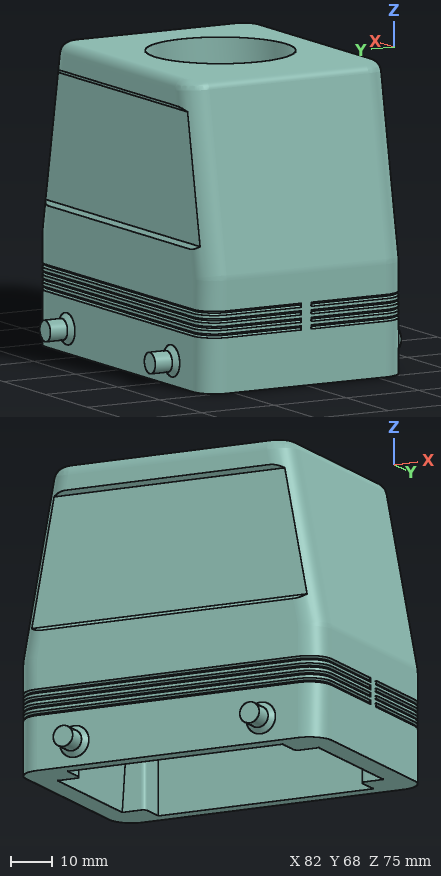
import cadquery as cq

LENGTH = 82.0
WIDTH = 56.0
HEIGHT = 75.0
TOP_LENGTH = 64.4
KNEE_Z = 28.1
KNEE_RADIUS = 7.0
KNEE_SEARCH = 1.0
CORNER_RADIUS = 6.0
TOP_RADIUS = 3.0

RECESS_DEPTH = 1.0
RECESS_BOTTOM_Z = 34.5
RECESS_TOP_Z = 68.3

GROOVE_COUNT = 4
GROOVE_PITCH = 1.83
GROOVE_HEIGHT = 1.0
GROOVE_DEPTH = GROOVE_HEIGHT / 2
GROOVE_ANGLE = 45.0
FIRST_GROOVE_Z = 13.6
BRIDGE_WIDTH = 2.8

PIN_SPAN_X = 50.0
PIN_SPAN_Y = 68.0
PIN_Z = 6.0
PIN_RADIUS = 2.6
FOOT_RADIUS = 3.9
FOOT_HEIGHT = 1.3
PIN_ROOT = 1.0

HOLE_DIAMETER = 36.0
ROOF_THICKNESS = 7.5
SIDE_WALL = 4.0
CAVITY_BASE_LENGTH = 70.0
CAVITY_TOP_LENGTH = 61.0
POST_INNER_X = 28.8
POST_INNER_Y = 17.1
POST_RADIUS = 1.2

CAVITY_HEIGHT = HEIGHT - ROOF_THICKNESS
CAVITY_WIDTH = WIDTH - 2 * SIDE_WALL


def symmetric_prism(half_outline, depth):
    """Mirror an (x, z) outline about x = 0 and extrude it by depth, centred on y = 0."""
    mirrored = [(-x, z) for x, z in reversed(half_outline)]
    return cq.Workplane("XZ").polyline(half_outline + mirrored).close().extrude(depth / 2, both=True)


def make_shell():
    """Solid outer shape: straight base, sloping ends, rounded corners and roof."""
    half_outline = [(LENGTH / 2, 0), (LENGTH / 2, KNEE_Z), (TOP_LENGTH / 2, HEIGHT)]
    shell = symmetric_prism(half_outline, WIDTH)
    knee_band = cq.selectors.BoxSelector(
        (-LENGTH, -WIDTH, KNEE_Z - KNEE_SEARCH), (LENGTH, WIDTH, KNEE_Z + KNEE_SEARCH)
    )
    shell = shell.edges("|Y").edges(knee_band).fillet(KNEE_RADIUS)
    shell = shell.edges("(<Y or >Y) and (not |X)").fillet(CORNER_RADIUS)
    return shell.faces(">Z").edges().fillet(TOP_RADIUS)


def make_side_recess(side):
    """Cutter for the recess on the long side at y = side * WIDTH / 2."""
    face_y = side * WIDTH / 2
    floor_y = side * (WIDTH / 2 - RECESS_DEPTH)
    outline = [
        (face_y, RECESS_BOTTOM_Z),
        (floor_y, RECESS_BOTTOM_Z + RECESS_DEPTH),
        (floor_y, RECESS_TOP_Z - RECESS_DEPTH),
        (face_y, RECESS_TOP_Z),
    ]
    return cq.Workplane("YZ").polyline(outline).close().extrude(LENGTH / 2, both=True)


def base_section(z):
    """Workplane at height z holding the rounded outline of the base."""
    outline = cq.Sketch().rect(LENGTH, WIDTH).vertices().fillet(CORNER_RADIUS)
    return cq.Workplane("XY").workplane(offset=z).placeSketch(outline)


def make_groove(bottom_z):
    """V-section ring around the base, leaving out the bridges at the two ends."""
    middle_z = bottom_z + GROOVE_HEIGHT / 2
    ring = base_section(bottom_z).extrude(GROOVE_HEIGHT)
    ring = ring.cut(base_section(middle_z - GROOVE_DEPTH).extrude(GROOVE_DEPTH, taper=GROOVE_ANGLE))
    ring = ring.cut(base_section(middle_z + GROOVE_DEPTH).extrude(-GROOVE_DEPTH, taper=GROOVE_ANGLE))
    bridge = cq.Workplane("XY").box(LENGTH, BRIDGE_WIDTH, HEIGHT)
    return ring.cut(bridge)


def make_pin(x, side):
    """Pin with conical foot, pointing outwards along side * Y."""
    wall_y = WIDTH / 2
    half_section = [
        (0, wall_y - PIN_ROOT),
        (FOOT_RADIUS, wall_y - PIN_ROOT),
        (FOOT_RADIUS, wall_y),
        (PIN_RADIUS, wall_y + FOOT_HEIGHT),
        (PIN_RADIUS, PIN_SPAN_Y / 2),
        (0, PIN_SPAN_Y / 2),
    ]
    pin = cq.Workplane("XY").polyline(half_section).close().revolve(360, (0, 0), (0, 1))
    if side < 0:
        pin = pin.mirror("XZ")
    return pin.translate((x, 0, PIN_Z))


def make_corner_post(side_x, side_y):
    """Full-height post filling one corner of the cavity, with a rounded inner edge."""
    size_x = LENGTH / 2 - POST_INNER_X
    size_y = WIDTH / 2 - POST_INNER_Y
    post = (
        cq.Workplane("XY")
        .box(size_x, size_y, CAVITY_HEIGHT, centered=False)
        .edges("|Z and <X and <Y")
        .fillet(POST_RADIUS)
        .translate((POST_INNER_X, POST_INNER_Y, 0))
    )
    if side_x < 0:
        post = post.mirror("YZ")
    if side_y < 0:
        post = post.mirror("XZ")
    return post


def make_cavity():
    """Interior with drafted ends, less the four corner posts."""
    half_outline = [(CAVITY_BASE_LENGTH / 2, 0), (CAVITY_TOP_LENGTH / 2, CAVITY_HEIGHT)]
    cavity = symmetric_prism(half_outline, CAVITY_WIDTH)
    for side_x in (-1, 1):
        for side_y in (-1, 1):
            cavity = cavity.cut(make_corner_post(side_x, side_y))
    return cavity


hood = make_shell()
for side in (-1, 1):
    hood = hood.cut(make_side_recess(side))
for index in range(GROOVE_COUNT):
    hood = hood.cut(make_groove(FIRST_GROOVE_Z + index * GROOVE_PITCH))
for side in (-1, 1):
    for x in (-PIN_SPAN_X / 2, PIN_SPAN_X / 2):
        hood = hood.union(make_pin(x, side))
hood = hood.cut(make_cavity())

cable_entry = cq.Workplane("XY").circle(HOLE_DIAMETER / 2).extrude(HEIGHT)
result = hood.cut(cable_entry)